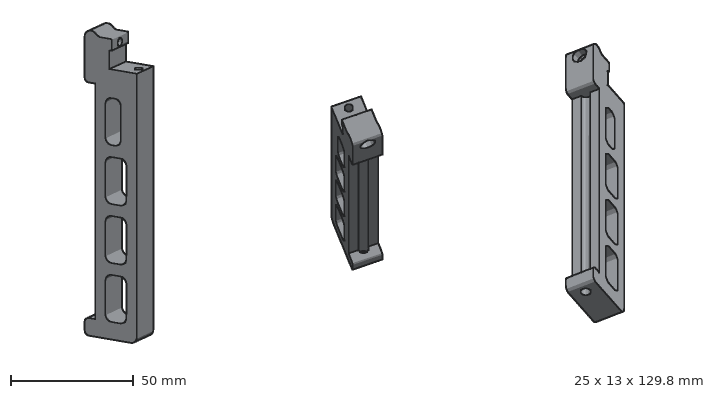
import cadquery as cq
import math

length_x = 25.0
width_y = 13.0
height_z = 129.8

jaw_depth = 5.0
foot_height = 7.5
jaw_opening = 100.0
shelf_z = 114.8
neck_x = 12.0
lip_x = 13.0
lip_bottom_z = 122.6
lip_top_z = 127.7
crest_end_x = 3.2
slope_angle = math.radians(48)

jaw_radius = 2.0
toe_radius = 2.2
crest_radius = 3.0
heel_radius = 3.0
lip_radius = 0.4

slot_x = 10.0
slot_width = 10.0
top_slot_width = 7.4
slot_height = 20.0
slot_pitch = 25.0
slot_count = 4
slot_radius = 3.0

groove_diameter = 4.2
screw_diameter = 3.4
counterbore_diameter = 6.5
counterbore_depth = 3.9
screw_z = 124.8
shelf_hole_diameter = 3.4
shelf_hole_x = 21.9
shelf_hole_depth = 20.0

head_bottom_z = foot_height + jaw_opening
mid_y = width_y / 2


def extruded_profile():
    """Side outline with an S-shaped ramp from the crest down to the lip."""
    drop = height_z - lip_top_z
    ramp_radius = drop / (2 * (1 - math.cos(slope_angle)))
    half_run = ramp_radius * math.sin(slope_angle)
    ramp_mid = (crest_end_x + half_run, height_z - drop / 2)
    ramp_end = (crest_end_x + 2 * half_run, lip_top_z)
    return (
        cq.Workplane("XZ", origin=(0, width_y, 0))
        .moveTo(0, 0)
        .lineTo(length_x, 0)
        .lineTo(length_x, shelf_z)
        .lineTo(neck_x, shelf_z)
        .lineTo(neck_x, lip_bottom_z)
        .lineTo(lip_x, lip_bottom_z)
        .lineTo(lip_x, lip_top_z)
        .lineTo(*ramp_end)
        .tangentArcPoint(ramp_mid, relative=False)
        .tangentArcPoint((crest_end_x, height_z), relative=False)
        .lineTo(0, height_z)
        .lineTo(0, head_bottom_z)
        .lineTo(jaw_depth, head_bottom_z)
        .lineTo(jaw_depth, foot_height)
        .lineTo(0, foot_height)
        .close()
        .extrude(width_y)
    )


def round_edge(body, x, z, radius):
    """Fillet the edge along Y that passes through (x, z)."""
    edge = cq.selectors.NearestToPointSelector((x, mid_y, z))
    return body.edges("|Y").edges(edge).fillet(radius)


def slot(index):
    """Lightening slot through Y, counted from the foot upwards."""
    is_top = index == slot_count - 1
    width = top_slot_width if is_top else slot_width
    bottom_z = foot_height + index * slot_pitch
    return (
        cq.Workplane("XY", origin=(slot_x, 0, bottom_z))
        .box(width, width_y, slot_height, centered=False)
        .edges("|Y")
        .fillet(slot_radius)
    )


def hole_along_x(diameter, depth):
    """Cutter running inwards from the outer face of the head."""
    return cq.Workplane("YZ", origin=(0, mid_y, screw_z)).circle(diameter / 2).extrude(depth)


def hole_along_z(diameter, x, bottom_z, depth):
    """Upright cutter centred on the width of the part."""
    return cq.Workplane("XY", origin=(x, mid_y, bottom_z)).circle(diameter / 2).extrude(depth)


body = extruded_profile()
for x, z, radius in (
    (0, 0, toe_radius),
    (0, foot_height, jaw_radius),
    (0, head_bottom_z, jaw_radius),
    (0, height_z, crest_radius),
    (length_x, 0, heel_radius),
    (lip_x, lip_top_z, lip_radius),
    (lip_x, lip_bottom_z, lip_radius),
):
    body = round_edge(body, x, z, radius)

for index in range(slot_count):
    body = body.cut(slot(index))

body = body.cut(hole_along_z(groove_diameter, jaw_depth, 0, head_bottom_z))

body = body.cut(hole_along_x(screw_diameter, lip_x))
body = body.cut(hole_along_x(counterbore_diameter, counterbore_depth))

body = body.cut(
    hole_along_z(shelf_hole_diameter, shelf_hole_x, shelf_z - shelf_hole_depth, shelf_hole_depth)
)

result = body